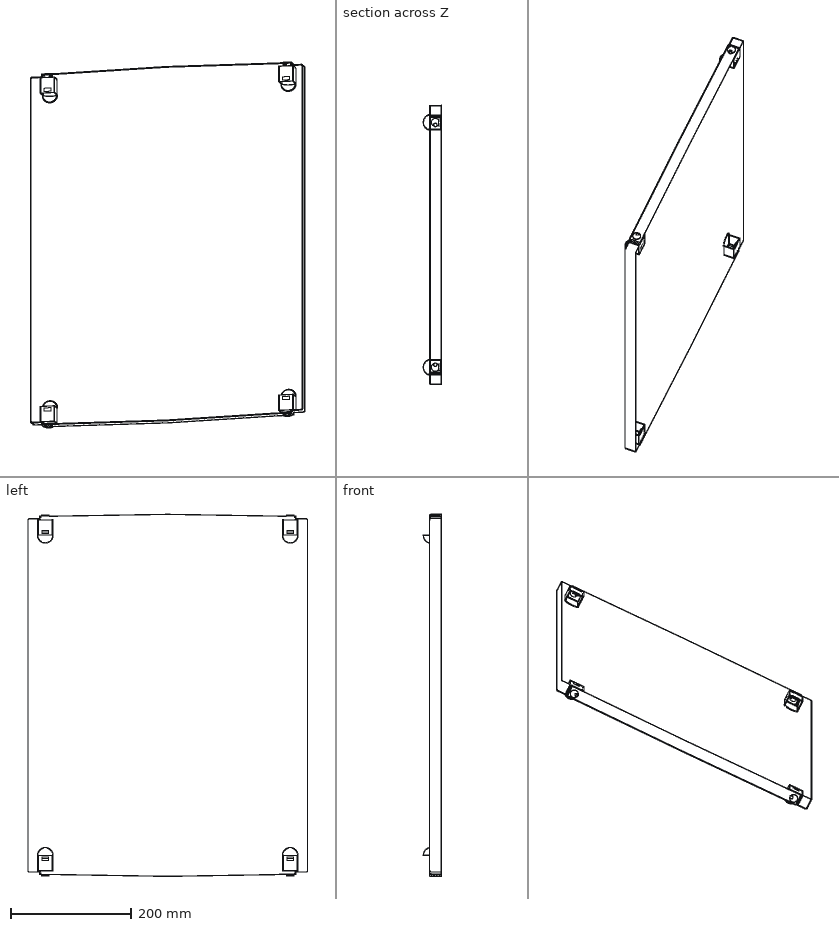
import cadquery as cq

panel_width = 464.5
peak_height = 602.0
tray_depth = 20.0
sheet = 1.5
bend_radius = 2.7

ridge_z = peak_height / 2
ledge_z = 298.0
corner_z = 294.0
slope_start_y = 185.5
corner_step_y = 213.0
half_width = panel_width / 2

catch_y = 203.5
window_width = 22.0
window_top_z = 291.0
rim_z = 266.0

scoop_radius = 13.55
scoop_projection = 10.0
scoop_center_x = scoop_radius - scoop_projection

rib_half_height = 2.7
rib_depth = 3.0
rib_length = 11.5
rib_z = 271.5

head_diameter = 13.0
head_top_z = 300.0
stud_hole_diameter = 5.5
stud_hole_y = 199.0


def box(x_range, y_range, z_range):
    """Axis-aligned block between the given limits."""
    (x0, x1), (y0, y1), (z0, z1) = x_range, y_range, z_range
    return cq.Workplane("XY").box(x1 - x0, y1 - y0, z1 - z0, centered=False).translate((x0, y0, z0))


def rounded_slab():
    """Solid slab with the panel outline and its folds rounded, symmetric about Y = 0 and Z = 0."""
    upper_left = [
        (-half_width, corner_z),
        (-corner_step_y, corner_z),
        (-corner_step_y, ledge_z),
        (-slope_start_y, ledge_z),
    ]
    upper_right = [(-y, z) for y, z in reversed(upper_left)]
    upper = upper_left + [(0, ridge_z)] + upper_right
    lower = [(y, -z) for y, z in reversed(upper)]
    slab = cq.Workplane("YZ").polyline(upper + lower).close().extrude(tray_depth)
    for side in ("<Y", ">Y"):
        slab = slab.faces(side).edges("|X").fillet(bend_radius)
    return slab.faces("<X").edges().fillet(bend_radius)


def scoop_ball(radius):
    """Lower half of a ball cut off level with the scoop rim."""
    ball = cq.Workplane("XY").sphere(radius).translate((scoop_center_x, catch_y, rim_z))
    span = 2 * scoop_radius
    lower_half = box((-span, span), (catch_y - span, catch_y + span), (rim_z - span, rim_z))
    return ball.intersect(lower_half)


def catch_opening():
    """Everything cut through the front panel: window and the hollow of the scoop."""
    y0 = catch_y - window_width / 2
    window = box((-sheet, 2 * sheet), (y0, y0 + window_width), (rim_z, window_top_z))
    return window.union(scoop_ball(scoop_radius - sheet))


def catch_channel():
    """U-shaped channel behind the window, open downward, with a rib on its back wall."""
    half_inside = window_width / 2
    half_outside = half_inside + sheet
    back_x = tray_depth - sheet
    channel_top = corner_z - sheet
    outer_y = (catch_y - half_outside, catch_y + half_outside)
    inner_y = (catch_y - half_inside, catch_y + half_inside)
    outer = box((sheet / 2, tray_depth), outer_y, (rim_z, channel_top))
    inner = box((0, back_x), inner_y, (rim_z, channel_top))
    rib = (
        cq.Workplane("XZ", origin=(back_x, catch_y + rib_length / 2, rib_z))
        .polyline([(0, -rib_half_height), (-rib_depth, 0), (0, rib_half_height), (sheet, 0)])
        .close()
        .extrude(rib_length)
    )
    return outer.cut(inner).union(rib)


def stud_cylinder(diameter, axis_y, bottom_z, top_z):
    """Upright cylinder midway through the tray depth."""
    base = cq.Workplane("XY", origin=(tray_depth / 2, axis_y, bottom_z))
    return base.circle(diameter / 2).extrude(top_z - bottom_z)


def in_four_corners(feature):
    """The feature at +Y +Z together with its mirror images in the other corners."""
    pair = feature.union(feature.mirror("XZ"))
    return pair.union(pair.mirror("XY"))


tray = rounded_slab().faces(">X").shell(-sheet)

channels = in_four_corners(catch_channel())
scoops = in_four_corners(scoop_ball(scoop_radius))
heads = in_four_corners(stud_cylinder(head_diameter, catch_y, ledge_z - sheet, head_top_z))
openings = in_four_corners(catch_opening())
stud_holes = in_four_corners(stud_cylinder(stud_hole_diameter, stud_hole_y, ledge_z - 2 * sheet, ridge_z))

scoops = scoops.intersect(box((-scoop_projection, sheet), (-half_width, half_width), (-ridge_z, ridge_z)))

result = tray.union(channels).union(scoops).union(heads).cut(openings).cut(stud_holes)